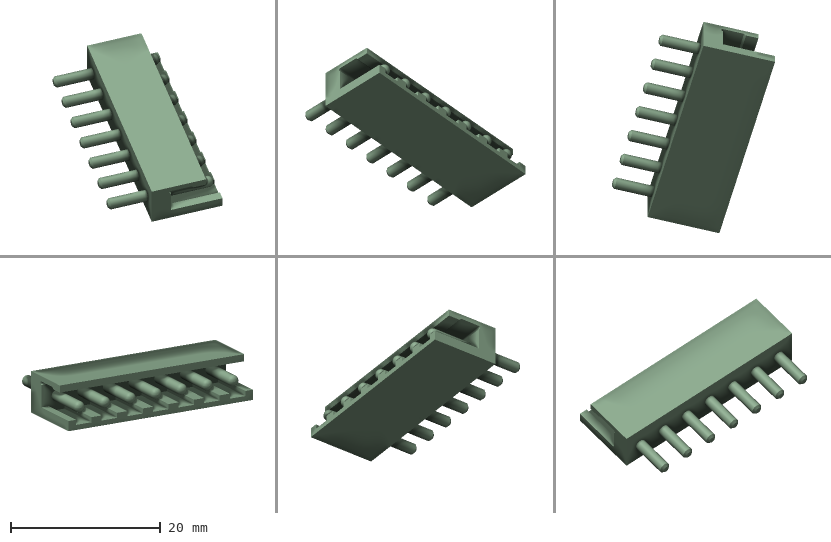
import cadquery as cq

housing_length = 28.52
housing_height = 5.8
shelf_depth = 9.92
shelf_thickness = 1.43
lip_depth = 7.61
lip_thickness = 0.7
wall_thickness = 2.7

latch_thickness = 1.0
latch_length = 1.7
latch_height = latch_thickness - lip_thickness

relief_depth = 0.2
relief_height = 0.5

pin_count = 7
pin_pitch = 3.96
pin_radius = 0.77
pin_height = 2.75
pin_front_length = 5.48
pin_back_length = 9.33
tip_chamfer = 0.3
back_rounding = 0.7

groove_width = 2.4
groove_depth = 0.7


def make_housing():
    """Extrude the C-shaped YZ section, centred on X = 0."""
    lip_underside = housing_height - lip_thickness
    latch_underside = housing_height - latch_thickness
    latch_start = lip_depth - latch_length
    relief_wall = wall_thickness - relief_depth
    relief_bottom = lip_underside - relief_height
    section = (
        cq.Workplane("YZ")
        .moveTo(0, 0)
        .lineTo(shelf_depth, 0)
        .lineTo(shelf_depth, shelf_thickness)
        .lineTo(wall_thickness, shelf_thickness)
        .lineTo(wall_thickness, relief_bottom)
        .radiusArc((relief_wall, relief_bottom + relief_depth), relief_depth)
        .lineTo(relief_wall, lip_underside - relief_depth)
        .radiusArc((wall_thickness, lip_underside), relief_depth)
        .lineTo(latch_start - latch_height, lip_underside)
        .lineTo(latch_start, latch_underside)
        .lineTo(lip_depth, latch_underside)
        .lineTo(lip_depth, housing_height)
        .lineTo(0, housing_height)
        .close()
    )
    return section.extrude(housing_length / 2, both=True)


def make_groove(x):
    """Cutter for one shelf groove, from the wall out through the back edge."""
    return (
        cq.Workplane("XY")
        .box(groove_width, shelf_depth - wall_thickness, groove_depth, centered=(True, False, False))
        .translate((x, wall_thickness, shelf_thickness - groove_depth))
    )


def make_pin(x):
    """Revolve one pin with a chamfered front tip and a rounded back end."""
    rounding_start = pin_back_length - back_rounding
    half_section = (
        cq.Workplane("XY")
        .moveTo(0, -pin_front_length)
        .lineTo(pin_radius - tip_chamfer, -pin_front_length)
        .lineTo(pin_radius, tip_chamfer - pin_front_length)
        .lineTo(pin_radius, rounding_start)
        .radiusArc((pin_radius - back_rounding, pin_back_length), -back_rounding)
        .lineTo(0, pin_back_length)
        .close()
    )
    pin = half_section.revolve(360, (0, 0, 0), (0, 1, 0))
    return pin.translate((x, 0, pin_height))


pin_positions = [(i - (pin_count - 1) / 2) * pin_pitch for i in range(pin_count)]

result = make_housing()
for pin_x in pin_positions:
    result = result.cut(make_groove(pin_x))
for pin_x in pin_positions:
    result = result.union(make_pin(pin_x))